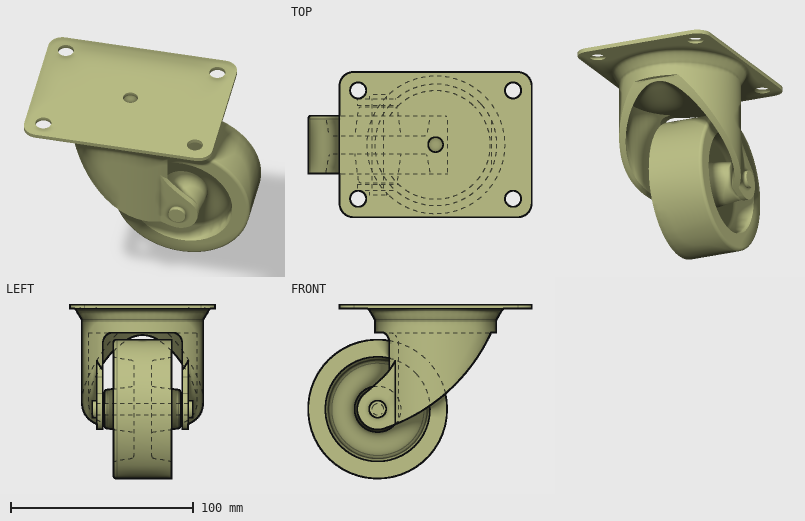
import cadquery as cq
import math


plate_length = 105.2
plate_width = 79.5
plate_thickness = 2.2
plate_corner_radius = 7.8
bolt_hole_diameter = 8.7
bolt_spacing_x = 84.7
bolt_spacing_y = 59.2
pivot_hole_diameter = 8.2

wheel_radius = 38.0
wheel_width = 31.8
overall_length = 122.4
overall_height = 95.2
axle_x = plate_length / 2 + wheel_radius - overall_length
axle_z = wheel_radius - overall_height
rim_round = 1.7
recess_depth = 11.0
recess_mouth_radius = 28.6
recess_draft = math.radians(10)
recess_floor_round = 1.7
hub_length = 41.6
hub_root_radius = 12.6
hub_draft = math.radians(7.5)
hub_end_round = 1.6

crown_radius = 33.3
crown_wall = 3.5
cone_bottom_z = -8.3
cone_slope = math.radians(60)
bend_radius = 1.6

opening_width = 43.3
opening_top_z = -15.3
opening_corner_radius = 5.6

arm_thickness = 3.3
arm_end_radius = 11.1
arm_shoulder_angle = math.radians(38.5)
arm_neck_x = 3.3
arm_neck_z = 17.7
arm_root_z = -30.6
belly_radius = 98.5
belly_centre_offset = 27.4

axle_radius = 3.2
axle_head_radius = 4.7
axle_length = 54.8


def side_plane(y):
    """XZ work plane at the given Y, with its origin on the axle line; it extrudes toward -Y."""
    return cq.Workplane(cq.Plane(origin=(axle_x, y, axle_z), xDir=(1, 0, 0), normal=(0, -1, 0)))


def axle_disc(radius, length):
    """Cylinder on the axle line, centred on Y = 0."""
    return side_plane(0).circle(radius).extrude(length / 2, both=True)


def make_plate():
    plate = (
        cq.Workplane("XY")
        .rect(plate_length, plate_width)
        .extrude(-plate_thickness)
        .edges("|Z")
        .fillet(plate_corner_radius)
    )
    bolt_holes = (
        cq.Workplane("XY")
        .rect(bolt_spacing_x, bolt_spacing_y, forConstruction=True)
        .vertices()
        .circle(bolt_hole_diameter / 2)
        .extrude(-plate_thickness)
    )
    pivot_hole = cq.Workplane("XY").circle(pivot_hole_diameter / 2).extrude(-plate_thickness)
    return plate.cut(bolt_holes).cut(pivot_hole)


def make_crown():
    """Solid of revolution: cylinder, cone, and a rounded flare that runs out under the plate."""
    cone_height = -plate_thickness - cone_bottom_z
    cone_top_radius = crown_radius + cone_height / math.tan(cone_slope)
    cone_r = math.cos(cone_slope)
    cone_z = math.sin(cone_slope)
    bend_run = bend_radius * math.tan((math.pi / 2 - cone_slope) / 2)
    flare_run = bend_radius * math.tan(cone_slope / 2)
    bend_end = (crown_radius + bend_run * cone_r, cone_bottom_z + bend_run * cone_z)
    flare_start = (cone_top_radius - flare_run * cone_r, -plate_thickness - flare_run * cone_z)
    flare_end = (cone_top_radius + flare_run, -plate_thickness)
    crown_bottom_z = axle_z - arm_end_radius
    return (
        cq.Workplane("XZ")
        .moveTo(0, -plate_thickness)
        .lineTo(0, crown_bottom_z)
        .lineTo(crown_radius, crown_bottom_z)
        .lineTo(crown_radius, cone_bottom_z - bend_run)
        .tangentArcPoint(bend_end, relative=False)
        .lineTo(*flare_start)
        .tangentArcPoint(flare_end, relative=False)
        .close()
        .revolve(360, (0, 0), (0, 1))
    )


def belly_centre():
    """Centre of the belly arc, which is tangent to the rounded arm ends."""
    reach = belly_radius - arm_end_radius
    return axle_x - belly_centre_offset, axle_z + math.sqrt(reach**2 - belly_centre_offset**2)


def make_arm(high_y):
    """Flat arm from the axle forward into the crown wall; high_y is its face toward +Y."""
    outer_face_y = opening_width / 2 + arm_thickness
    root_x = -math.sqrt(crown_radius**2 - outer_face_y**2) - axle_x
    root_height = arm_root_z - axle_z

    belly_x, belly_z = belly_centre()
    down_angle = math.atan2(axle_z - belly_z, axle_x - belly_x)
    heel_x = arm_end_radius * math.cos(down_angle)
    heel_z = arm_end_radius * math.sin(down_angle)
    overlap_x = root_x + arm_thickness
    toe_z = heel_z + (overlap_x - heel_x) / math.tan(-down_angle)
    shoulder_x = -arm_end_radius * math.sin(arm_shoulder_angle)
    shoulder_z = arm_end_radius * math.cos(arm_shoulder_angle)
    return (
        side_plane(high_y)
        .moveTo(heel_x, heel_z)
        .threePointArc((-arm_end_radius, 0), (shoulder_x, shoulder_z))
        .tangentArcPoint((arm_neck_x, arm_neck_z), relative=False)
        .tangentArcPoint((root_x, root_height), relative=False)
        .lineTo(overlap_x, root_height)
        .lineTo(overlap_x, toe_z)
        .close()
        .extrude(arm_thickness)
    )


def make_fork_opening():
    """Opening toward -X for the wheel, with rounded upper corners."""
    height = overall_height + opening_top_z
    return (
        cq.Workplane("XY")
        .box(overall_length, opening_width, height, centered=(True, True, False))
        .translate((-overall_length / 2, 0, -overall_height))
        .edges("|X and >Z")
        .fillet(opening_corner_radius)
    )


def make_belly_waste():
    """Everything below the crown rim that lies outside the belly arc."""
    block = (
        cq.Workplane("XY")
        .box(overall_length, plate_width, overall_height, centered=(True, True, False))
        .translate((0, 0, opening_top_z - overall_height))
    )
    belly_x, belly_z = belly_centre()
    belly = (
        cq.Workplane("XZ", origin=(belly_x, 0, belly_z))
        .circle(belly_radius)
        .extrude(plate_width, both=True)
    )
    return block.cut(belly)


def make_fork():
    half_opening = opening_width / 2
    fork = make_crown()
    for high_y in (half_opening + arm_thickness, -half_opening):
        fork = fork.union(make_arm(high_y))
    cavity = (
        cq.Workplane("XY", origin=(0, 0, opening_top_z))
        .circle(crown_radius - crown_wall)
        .extrude(-overall_height)
    )
    axle_hole = axle_disc(axle_radius, opening_width + 2 * arm_thickness)
    return fork.cut(cavity).cut(make_fork_opening()).cut(make_belly_waste()).cut(axle_hole)


def revolve_about_axle(outline):
    """Solid of revolution from (radius, Y) points, turned about the axle line."""
    return (
        cq.Workplane("XY", origin=(axle_x, 0, axle_z))
        .polyline(outline)
        .close()
        .revolve(360, (0, 0), (0, 1))
    )


def make_wheel_recess():
    """Drafted recess in the +Y face, down to the web, with a rounded floor edge."""
    face_y = wheel_width / 2
    web_y = face_y - recess_depth
    floor_radius = recess_mouth_radius - recess_depth * math.tan(recess_draft)
    outline = [(0, web_y), (floor_radius, web_y), (recess_mouth_radius, face_y), (0, face_y)]
    return revolve_about_axle(outline).faces("<Y").edges().fillet(recess_floor_round)


def make_hub():
    """Tapered +Y half of the hub, from the middle of the web to its rounded end."""
    web_y = wheel_width / 2 - recess_depth
    tip_y = hub_length / 2
    tip_radius = hub_root_radius - (tip_y - web_y) * math.tan(hub_draft)
    outline = [(0, 0), (hub_root_radius, 0), (hub_root_radius, web_y), (tip_radius, tip_y), (0, tip_y)]
    return revolve_about_axle(outline).faces(">Y").edges().fillet(hub_end_round)


def make_wheel():
    """Rim rounded on its +Y edge only; recess and hub are the same on both sides."""
    recess = make_wheel_recess()
    hub = make_hub()
    return (
        axle_disc(wheel_radius, wheel_width)
        .faces(">Y")
        .edges()
        .fillet(rim_round)
        .cut(recess)
        .cut(recess.mirror("XZ"))
        .union(hub)
        .union(hub.mirror("XZ"))
        .cut(axle_disc(axle_radius, hub_length))
    )


def make_axle():
    """Shank through the arms and hub, with a wider head outside each arm."""
    grip = opening_width + 2 * arm_thickness
    heads = axle_disc(axle_head_radius, axle_length).cut(axle_disc(axle_head_radius, grip))
    return axle_disc(axle_radius, axle_length).union(heads)


plate = make_plate()
fork = make_fork()
wheel = make_wheel()
axle = make_axle()

result = cq.Compound.makeCompound([plate.val(), fork.val(), wheel.val(), axle.val()])